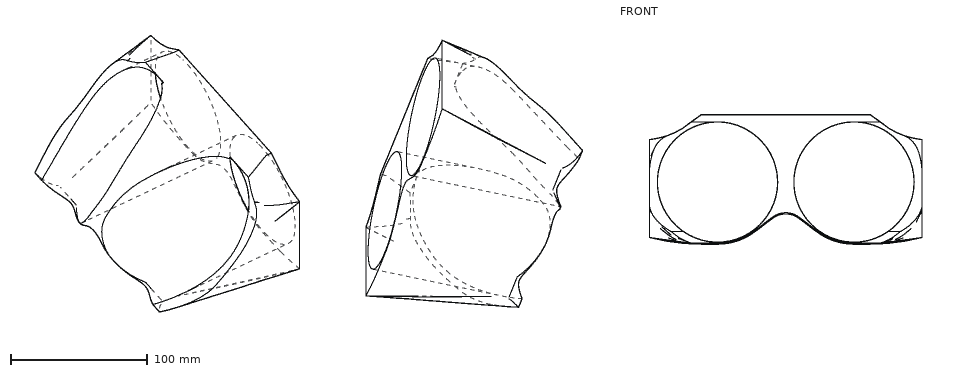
import cadquery as cq
import math

width = 200.0
depth = 115.0
height = 95.0
half_width = width / 2
overcut = 10.0

bore_radius = 44.0
bore_spacing = 100.0
bore_height = 45.5
bore_x = bore_spacing / 2
floor_wall = 1.5

top_half_width = 62.0
shoulder_x = 76.0
shoulder_z = 84.8
side_top_z = 76.8
side_mid = (87.0, 79.5)
side_bottom_z = 5.0
corner_mid = (82.0, 1.5)
floor_end_x = 61.0
arch_height = 22.2
arch_radius = 16.0
floor_rise = 1.0

top_flat_depth = 4.8
nose_height = 19.5
nose_floor_depth = 100.0
lip_depth = 112.0
lip_height = 9.2
relief_start_depth = 24.8
relief_start_height = 89.8
relief_inner_x = 45.0

nose_curve = [(-57.5, 78), (-86.5, 62.5), (-105.2, 44.5)]
relief_curve = [(-30, 80), (-40.5, 65.5), (-61.5, 40.5), (-88.5, 20)]
top_slope = (-1, -0.25)
straight_down = (0, -1)
floor_slope = (1, -0.15)

apex_depth = 0.2
upper_arc = [(0, -0.49), (0.12, -0.15), (0.5, 0.11)]
lower_arc = [(0, 0.32), (0.1, 0.08), (0.33, -0.045)]
corner_margin = 0.3


def outline_block():
    """Upper and side outline extruded forward, with a flat underside."""
    return (
        cq.Workplane("XZ")
        .moveTo(-half_width, -overcut)
        .lineTo(-half_width, side_top_z)
        .threePointArc((-side_mid[0], side_mid[1]), (-shoulder_x, shoulder_z))
        .lineTo(-top_half_width, height)
        .lineTo(top_half_width, height)
        .lineTo(shoulder_x, shoulder_z)
        .threePointArc(side_mid, (half_width, side_top_z))
        .lineTo(half_width, -overcut)
        .close()
        .extrude(depth)
    )


def underside_cut():
    """Space below the floor, rising slightly toward the front."""
    lobe_radius = bore_radius + floor_wall
    arch_z = arch_height - arch_radius
    rise = bore_height - arch_z
    normal_angle = math.atan2(rise, bore_x) + math.acos(
        (lobe_radius + arch_radius) / math.hypot(bore_x, rise)
    )
    normal_x = math.cos(normal_angle)
    normal_z = math.sin(normal_angle)
    arch_x_end = arch_radius * normal_x
    arch_z_end = arch_z + arch_radius * normal_z
    lobe_x_end = bore_x - lobe_radius * normal_x
    lobe_z_end = bore_height - lobe_radius * normal_z
    lobe_mid_angle = (normal_angle + math.pi / 2) / 2
    lobe_x_mid = bore_x - lobe_radius * math.cos(lobe_mid_angle)
    lobe_z_mid = bore_height - lobe_radius * math.sin(lobe_mid_angle)
    outline = (
        cq.Workplane("XZ")
        .moveTo(-half_width, -2 * overcut)
        .lineTo(-half_width, side_bottom_z)
        .threePointArc((-corner_mid[0], corner_mid[1]), (-floor_end_x, 0))
        .lineTo(-bore_x, 0)
        .threePointArc((-lobe_x_mid, lobe_z_mid), (-lobe_x_end, lobe_z_end))
        .lineTo(-arch_x_end, arch_z_end)
        .threePointArc((0, arch_height), (arch_x_end, arch_z_end))
        .lineTo(lobe_x_end, lobe_z_end)
        .threePointArc((lobe_x_mid, lobe_z_mid), (bore_x, 0))
        .lineTo(floor_end_x, 0)
        .threePointArc(corner_mid, (half_width, side_bottom_z))
        .lineTo(half_width, -2 * overcut)
        .close()
    )
    face = cq.Face.makeFromWires(outline.val())
    forward = cq.Vector(0, -depth, floor_rise)
    return cq.Workplane(cq.Solid.extrudeLinear(face, forward))


def nose_profile():
    """Rounded side silhouette, extruded across the full width."""
    return (
        cq.Workplane("YZ", origin=(-half_width - overcut, 0, 0))
        .moveTo(0, -overcut)
        .lineTo(0, height)
        .lineTo(-top_flat_depth, height)
        .spline(
            [
                (-relief_start_depth, relief_start_height),
                *nose_curve,
                (-depth, nose_height),
            ],
            includeCurrent=True,
            tangents=[top_slope, straight_down],
        )
        .spline(
            [(-lip_depth, lip_height), (-nose_floor_depth, floor_rise)],
            includeCurrent=True,
            tangents=[straight_down, floor_slope],
        )
        .lineTo(-nose_floor_depth, -overcut)
        .close()
        .extrude(width + 2 * overcut)
    )


def side_relief():
    """Concave sweep that opens the left bore toward its outer side."""
    return (
        cq.Workplane("YZ", origin=(-half_width - overcut, 0, 0))
        .moveTo(-relief_start_depth, relief_start_height)
        .spline(
            [*relief_curve, (-lip_depth, lip_height)],
            includeCurrent=True,
        )
        .lineTo(-depth - overcut, lip_height)
        .lineTo(-depth - overcut, height + overcut)
        .lineTo(-relief_start_depth, height + overcut)
        .close()
        .extrude(half_width + overcut - relief_inner_x)
    )


def tapered_corner(corner_z, arc, outward):
    """Rounded cut on the left side that grows from a point at the back."""

    def section(distance):
        points = [
            (-half_width + x * distance, corner_z + z * distance)
            for x, z in arc
        ]
        margin = corner_margin * distance
        outer_x = -half_width - margin
        outer_z = corner_z + outward * margin
        return (
            cq.Workplane("XZ", origin=(0, -distance, 0))
            .moveTo(*points[0])
            .threePointArc(points[1], points[2])
            .lineTo(points[2][0], outer_z)
            .lineTo(outer_x, outer_z)
            .lineTo(outer_x, points[0][1])
            .close()
            .val()
        )

    sections = [section(apex_depth), section(depth + overcut)]
    return cq.Workplane(cq.Solid.makeLoft(sections, True))


bores = (
    cq.Workplane("XZ")
    .pushPoints([(-bore_x, bore_height), (bore_x, bore_height)])
    .circle(bore_radius)
    .extrude(depth)
)

result = outline_block().intersect(nose_profile()).cut(underside_cut())
for cutter in (
    side_relief(),
    tapered_corner(side_top_z, upper_arc, 1),
    tapered_corner(side_bottom_z, lower_arc, -1),
):
    result = result.cut(cutter).cut(cutter.mirror("YZ"))
result = result.cut(bores)